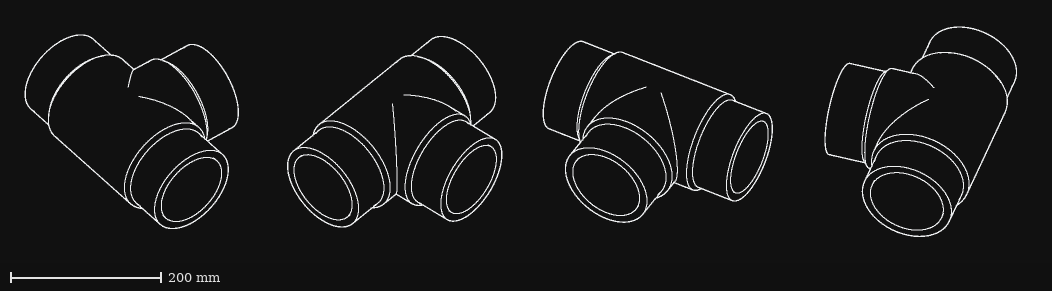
import cadquery as cq

run_length = 280.0
branch_length = run_length / 2
body_diameter = 136.5
spigot_diameter = 125.0
bore_diameter = 102.2
spigot_length = 51.8

body_radius = body_diameter / 2
spigot_radius = spigot_diameter / 2
bore_radius = bore_diameter / 2
taper_length = body_radius - spigot_radius

half_run = run_length / 2


def revolve_about_x(outline):
    """Revolve a closed (x, radius) outline about the X axis."""
    return cq.Workplane("XY").polyline(outline).close().revolve(360, (0, 0, 0), (1, 0, 0))


def end_outline(length):
    """Outer outline from the thick body out to the spigot end, at x = length."""
    spigot_start = length - spigot_length
    return [
        (spigot_start - taper_length, body_radius),
        (spigot_start, spigot_radius),
        (length, spigot_radius),
        (length, 0),
    ]


def turn_to_branch(shape):
    """Turn a shape lying along +X so that it lies along +Y."""
    return shape.rotate((0, 0, 0), (0, 0, 1), 90)


right_end = end_outline(half_run)
left_end = [(-x, radius) for x, radius in reversed(right_end)]
run = revolve_about_x(left_end + right_end)
branch = turn_to_branch(revolve_about_x([(0, 0), (0, body_radius)] + end_outline(branch_length)))
outside = run.union(branch)

run_bore = cq.Workplane("YZ").workplane(offset=-half_run).circle(bore_radius).extrude(run_length)
branch_bore = turn_to_branch(cq.Workplane("YZ").circle(bore_radius).extrude(branch_length))

result = outside.cut(run_bore).cut(branch_bore)